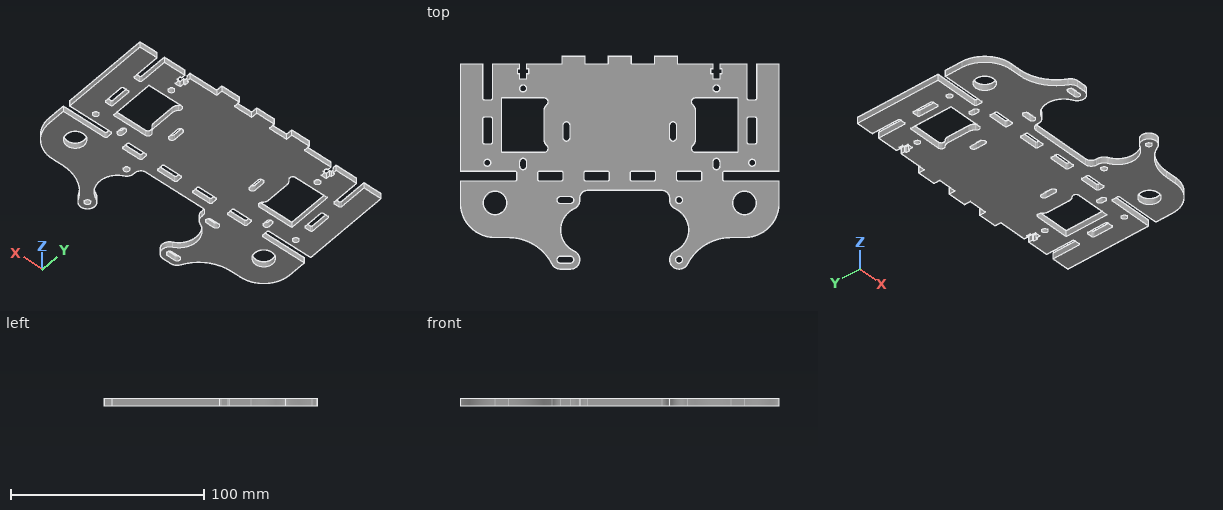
import cadquery as cq
import math

length = 165.0
depth = 110.2
thickness = 4.0
half_length = length / 2
tab_top_y = depth / 2
arm_bottom_y = -depth / 2

tab_width = 12.0
tab_height = 4.0
pitch = 24.0
back_y = tab_top_y - tab_height

slot_width = 5.0
slot_corner_radius = 0.8
slot_row_y = -7.0
slot_row_length = 13.0
side_cut_inner_x = 53.3
side_slot_x = 68.3
side_notch_bottom_y = 32.5
side_slot_y = 16.7
side_slot_length = 13.9

screw_diameter = 3.5
screw_x = 50.0
back_screw_y = 38.5
front_screw_slot_y = -0.7
front_screw_slot_length = 5.8
outer_screw_x = 68.5
outer_screw_y = 0.0
inner_slot_x = 27.5
inner_slot_y = 16.2
inner_slot_length = 9.9

nut_notch_depth = 7.8
nut_width = 5.6
nut_thickness = 2.5
nut_y = 47.4

window_outer_x = 61.0
window_wall_x = 39.3
window_back_y = 33.5
window_front_y = 5.5
lobe_x = 39.1
lobe_radius = 2.0
lobe_blend_radius = 4.5

large_hole_diameter = 12.0
corner_x = 64.5
corner_y = -20.8
corner_radius = half_length - corner_x
front_y = corner_y - corner_radius

boss_radius = 5.0
boss_x = 30.7
root_boss_y = -19.3
tip_boss_y = arm_bottom_y + boss_radius
left_arm_stretch = 5.1
bay_radius = 12.0
arm_blend_x = 57.5
recess_y = root_boss_y + boss_radius
recess_corner_radius = 4.0


def toward(start, end, distance):
    """Point at a distance from start on the straight line to end."""
    ratio = distance / math.dist(start, end)
    return (start[0] + ratio * (end[0] - start[0]), start[1] + ratio * (end[1] - start[1]))


def plate_half(stretch):
    """Right half of the plate; stretch widens the arm bosses toward the mid-line."""
    inner_boss_x = boss_x - stretch
    arm_edge_x = inner_boss_x - boss_radius
    root_boss = (inner_boss_x, root_boss_y)
    tip_boss = (inner_boss_x, tip_boss_y)
    outer_tip_boss = (boss_x, tip_boss_y)

    bay_y = (root_boss_y + tip_boss_y) / 2
    half_spacing = (root_boss_y - tip_boss_y) / 2
    bay_offset = math.sqrt((bay_radius + boss_radius) ** 2 - half_spacing**2)
    bay = (inner_boss_x - bay_offset, bay_y)

    run = arm_blend_x - boss_x
    drop = front_y - tip_boss_y
    blend_radius = (run**2 + drop**2 - boss_radius**2) / (2 * (drop + boss_radius))
    blend = (arm_blend_x, front_y - blend_radius)

    outline = (
        cq.Workplane("XY")
        .moveTo(0, back_y)
        .lineTo(half_length, back_y)
        .lineTo(half_length, corner_y)
        .tangentArcPoint((corner_x, front_y), relative=False)
        .lineTo(arm_blend_x, front_y)
        .tangentArcPoint(toward(outer_tip_boss, blend, boss_radius), relative=False)
        .tangentArcPoint((boss_x, arm_bottom_y), relative=False)
    )
    if stretch > 0:
        outline = outline.lineTo(inner_boss_x, arm_bottom_y)
    return (
        outline.tangentArcPoint(toward(tip_boss, bay, boss_radius), relative=False)
        .tangentArcPoint(toward(root_boss, bay, boss_radius), relative=False)
        .tangentArcPoint((arm_edge_x, root_boss_y), relative=False)
        .lineTo(arm_edge_x, recess_y - recess_corner_radius)
        .tangentArcPoint((arm_edge_x - recess_corner_radius, recess_y), relative=False)
        .lineTo(0, recess_y)
        .close()
        .extrude(thickness)
    )


def block(x_min, x_max, y_min, y_max):
    """Full-thickness block between two X and two Y limits."""
    return cq.Workplane("XY").box(x_max - x_min, y_max - y_min, thickness, centered=False).translate(
        (x_min, y_min, 0)
    )


def centered_block(x, y, size_x, size_y):
    return block(x - size_x / 2, x + size_x / 2, y - size_y / 2, y + size_y / 2)


def hole(x, y, diameter):
    return cq.Workplane("XY").center(x, y).circle(diameter / 2).extrude(thickness)


def screw_slot(x, y, total_length, angle):
    return cq.Workplane("XY").center(x, y).slot2D(total_length, screw_diameter, angle).extrude(thickness)


def window():
    """Right window: a rectangle with a round lobe at both inner corners."""
    middle_y = (window_back_y + window_front_y) / 2
    lobe = (lobe_x, window_back_y - lobe_radius)
    blend_x = window_wall_x - lobe_blend_radius
    blend_drop = math.sqrt((lobe_radius + lobe_blend_radius) ** 2 - (lobe_x - blend_x) ** 2)
    blend = (blend_x, lobe[1] - blend_drop)
    back_half = (
        cq.Workplane("XY")
        .moveTo(window_outer_x, middle_y)
        .lineTo(window_wall_x, middle_y)
        .lineTo(window_wall_x, blend[1])
        .tangentArcPoint(toward(lobe, blend, lobe_radius), relative=False)
        .tangentArcPoint((lobe_x, window_back_y), relative=False)
        .lineTo(window_outer_x, window_back_y)
        .close()
        .extrude(thickness)
    )
    return back_half.union(back_half.mirror("XZ", (0, middle_y, 0)))


def nut_notch():
    """Screw channel open to the back edge, crossed by a pocket for a nut."""
    channel = block(
        screw_x - screw_diameter / 2, screw_x + screw_diameter / 2, back_y - nut_notch_depth, back_y
    )
    return channel.union(centered_block(screw_x, nut_y, nut_width, nut_thickness))


def side_cutters():
    """Everything removed alike on the right and, mirrored, on the left."""
    side_cut = block(
        side_cut_inner_x, half_length, slot_row_y - slot_width / 2, slot_row_y + slot_width / 2
    )
    side_notch = block(
        side_slot_x - slot_width / 2, side_slot_x + slot_width / 2, side_notch_bottom_y, back_y
    )
    side_slot = centered_block(side_slot_x, side_slot_y, slot_width, side_slot_length)
    return [
        side_cut.edges("|Z and <X").fillet(slot_corner_radius),
        side_notch.edges("|Z and <Y").fillet(slot_corner_radius),
        side_slot.edges("|Z").fillet(slot_corner_radius),
        window(),
        nut_notch(),
        hole(screw_x, back_screw_y, screw_diameter),
        hole(outer_screw_x, outer_screw_y, screw_diameter),
        hole(corner_x, corner_y, large_hole_diameter),
        screw_slot(screw_x, front_screw_slot_y, front_screw_slot_length, 90),
        screw_slot(inner_slot_x, inner_slot_y, inner_slot_length, 90),
    ]


plate = plate_half(0).union(plate_half(left_arm_stretch).mirror("YZ"))

for position in (-1, 0, 1):
    tab_x = position * pitch
    plate = plate.union(block(tab_x - tab_width / 2, tab_x + tab_width / 2, back_y, tab_top_y))

for cutter in side_cutters():
    plate = plate.cut(cutter).cut(cutter.mirror("YZ"))

for position in (-1.5, -0.5, 0.5, 1.5):
    row_slot = centered_block(position * pitch, slot_row_y, slot_row_length, slot_width)
    plate = plate.cut(row_slot.edges("|Z").fillet(slot_corner_radius))

for boss_y in (root_boss_y, tip_boss_y):
    plate = plate.cut(hole(boss_x, boss_y, screw_diameter))
    left_slot_x = left_arm_stretch / 2 - boss_x
    plate = plate.cut(screw_slot(left_slot_x, boss_y, left_arm_stretch + screw_diameter, 0))

result = plate